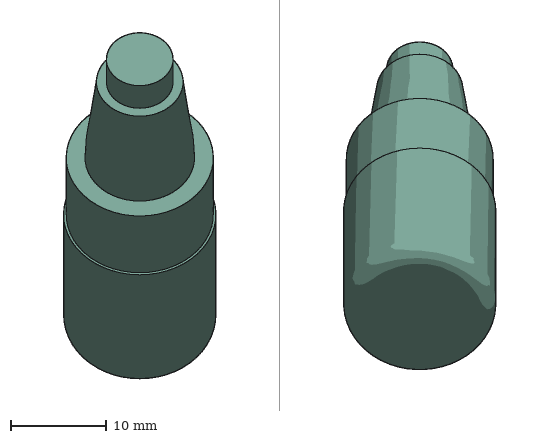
import cadquery as cq

barrel_diameter = 16.0
barrel_height = 19.3
bottom_round_radius = 2.0

collar_diameter = 15.45
collar_height = 9.8
sleeve_base_diameter = 11.5
sleeve_base_height = 2.8
sleeve_shoulder_diameter = 11.27
sleeve_taper_height = 10.3
sleeve_top_diameter = 9.1
tip_diameter = 7.0
tip_height = 3.9

collar_z = barrel_height
sleeve_base_z = collar_z + collar_height
sleeve_shoulder_z = sleeve_base_z + sleeve_base_height
tip_z = sleeve_shoulder_z + sleeve_taper_height
tip_top_z = tip_z + tip_height


def make_barrel():
    """Solid cylinder standing on Z = 0, rounded around its bottom edge."""
    barrel = cq.Workplane("XY").circle(barrel_diameter / 2).extrude(barrel_height)
    return barrel.faces("<Z").edges().fillet(bottom_round_radius)


def make_head():
    """Revolved head that sits on the flat top of the barrel."""
    half_profile = (
        cq.Workplane("XZ")
        .moveTo(0, collar_z)
        .lineTo(collar_diameter / 2, collar_z)
        .lineTo(collar_diameter / 2, sleeve_base_z)
        .lineTo(sleeve_base_diameter / 2, sleeve_base_z)
        .lineTo(sleeve_shoulder_diameter / 2, sleeve_shoulder_z)
        .lineTo(sleeve_top_diameter / 2, tip_z)
        .lineTo(tip_diameter / 2, tip_z)
        .lineTo(tip_diameter / 2, tip_top_z)
        .lineTo(0, tip_top_z)
        .close()
    )
    return half_profile.revolve(360, (0, 0), (0, 1))


barrel = make_barrel()
head = make_head()

result = cq.Compound.makeCompound([barrel.val(), head.val()])